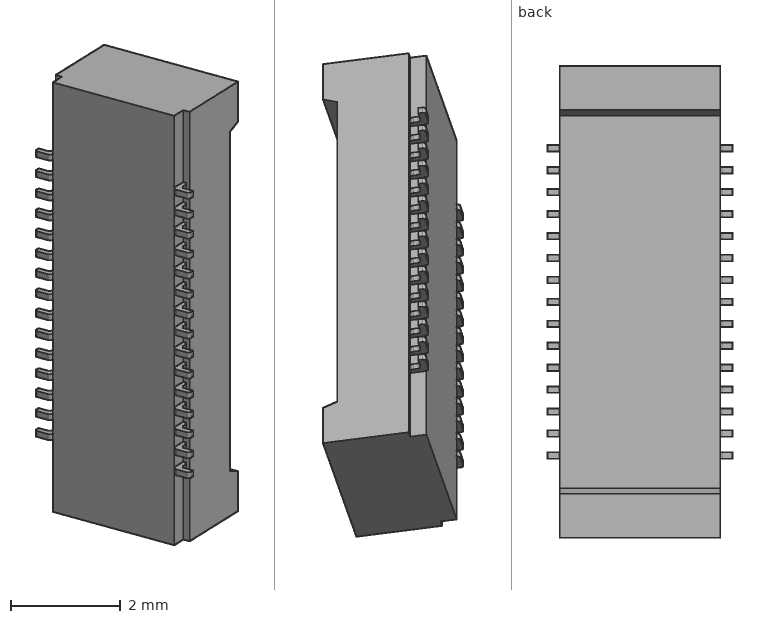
import cadquery as cq

height = 8.6
overall_width = 3.38
overall_depth = 1.95

housing_width = 2.93
base_width = 2.66
standoff = 0.05
shoulder_rise = 0.3
end_block_height = 0.8
recess_depth = 0.27
recess_slope = 0.1

lead_count = 15
lead_row_length = 5.6
lead_pitch = lead_row_length / (lead_count - 1)
lead_width = 0.12
lead_thickness = 0.13
upright_thickness = 0.1
toe_radius = 0.05
outer_bend_radius = 0.08
inner_bend_radius = 0.06

solder_y = -overall_depth / 2
mating_y = overall_depth / 2
base_y = solder_y + standoff
shoulder_y = base_y + shoulder_rise


def make_block(width, front_y):
    """Full-height block from front_y back to the mating face."""
    depth = mating_y - front_y
    return cq.Workplane("XY").box(width, depth, height).translate((0, front_y + depth / 2, 0))


def make_housing():
    """Block with a narrower base and a recess across the mating face."""
    upper = make_block(housing_width, shoulder_y)
    base = make_block(base_width, base_y)

    mouth_z = height / 2 - end_block_height
    floor_z = mouth_z - recess_slope
    floor_y = mating_y - recess_depth
    recess = (
        cq.Workplane("YZ")
        .moveTo(mating_y, -mouth_z)
        .lineTo(floor_y, -floor_z)
        .lineTo(floor_y, floor_z)
        .lineTo(mating_y, mouth_z)
        .close()
        .extrude(housing_width / 2, both=True)
    )
    return upper.union(base).cut(recess)


def make_right_lead():
    """Lead on the +X side, centred on Z = 0, with its upright against the base."""
    toe_x = overall_width / 2
    inner_x = base_width / 2
    upright_x = inner_x + upright_thickness
    foot_y = solder_y + lead_thickness
    lead = (
        cq.Workplane("XY")
        .moveTo(inner_x, shoulder_y)
        .lineTo(upright_x - outer_bend_radius, shoulder_y)
        .radiusArc((upright_x, shoulder_y - outer_bend_radius), outer_bend_radius)
        .lineTo(upright_x, foot_y + inner_bend_radius)
        .radiusArc((upright_x + inner_bend_radius, foot_y), -inner_bend_radius)
        .lineTo(toe_x, foot_y)
        .lineTo(toe_x, solder_y + toe_radius)
        .radiusArc((toe_x - toe_radius, solder_y), toe_radius)
        .lineTo(inner_x + outer_bend_radius, solder_y)
        .radiusArc((inner_x, solder_y + outer_bend_radius), outer_bend_radius)
        .close()
        .extrude(lead_width / 2, both=True)
    )
    return lead


right_lead = make_right_lead()
left_lead = right_lead.mirror("YZ")

result = make_housing()
for index in range(lead_count):
    lead_z = index * lead_pitch - lead_row_length / 2
    for lead in (right_lead, left_lead):
        result = result.union(lead.translate((0, 0, lead_z)))